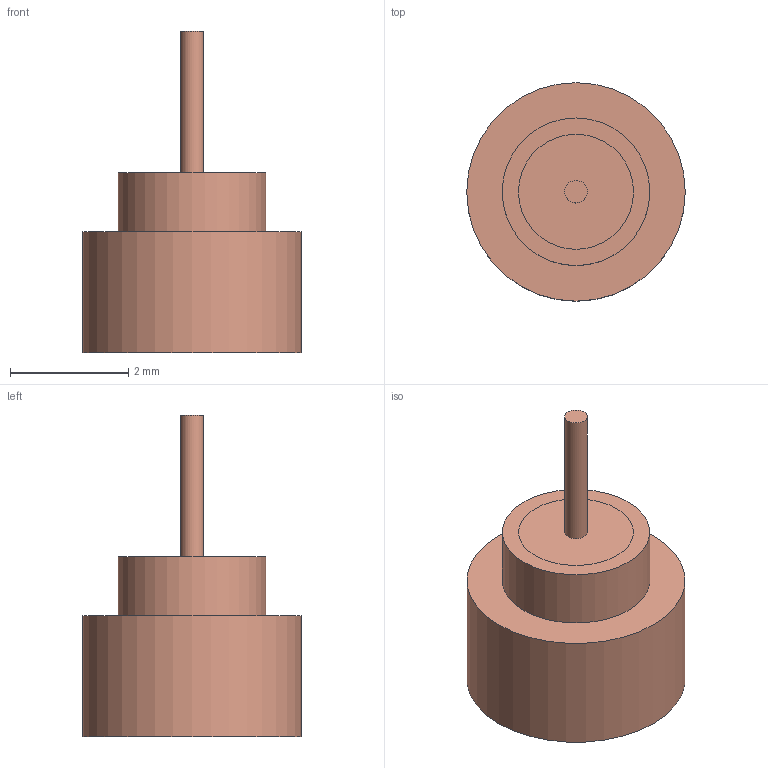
import cadquery as cq

BODY_DIAMETER = 3.7
BODY_HEIGHT = 2.05
COLLAR_DIAMETER = 2.5
COLLAR_HEIGHT = 1.0
INSERT_DIAMETER = 1.95
PIN_DIAMETER = 0.38
PIN_LENGTH = 2.4

COLLAR_TOP = BODY_HEIGHT + COLLAR_HEIGHT


def cylinder(diameter, base_height, length):
    """Vertical cylinder on the Z axis, starting at base_height."""
    return cq.Workplane("XY").workplane(offset=base_height).circle(diameter / 2).extrude(length)


body = cylinder(BODY_DIAMETER, 0, BODY_HEIGHT)
insert = cylinder(INSERT_DIAMETER, BODY_HEIGHT, COLLAR_HEIGHT)
collar = cylinder(COLLAR_DIAMETER, BODY_HEIGHT, COLLAR_HEIGHT).cut(insert)
pin = cylinder(PIN_DIAMETER, COLLAR_TOP, PIN_LENGTH)

result = body.union(collar, clean=False).union(insert, clean=False).union(pin, clean=False)